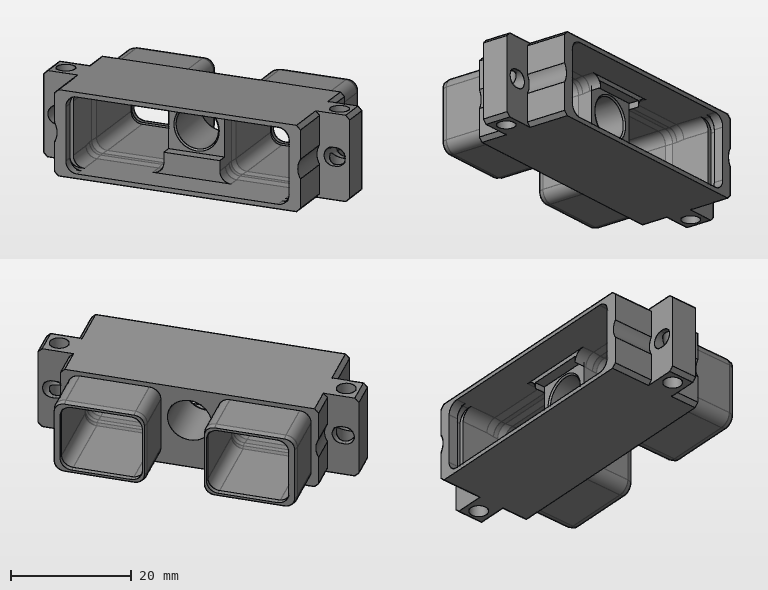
import cadquery as cq

total_length = 55.4
total_depth = 26.7
height = 15.2
edge_chamfer = 0.7
corner_radius = 2.0

body_length = 44.55
body_depth = 17.9
ear_front = 7.8
ear_depth = 5.0
mount_x = 25.0
pin_hole_x = 24.75
mount_hole_diameter = 3.25
mount_slot_length = 3.8
screw_relief_radius = 3.2

sleeve_x = 12.95
sleeve_width = 16.0
sleeve_height = 13.5
sleeve_root_depth = 2.0
sleeve_tip_length = 0.9
sleeve_tip_inset = 0.2

cavity_length = 40.4
cavity_height = sleeve_height
cavity_depth = 5.9
groove_front = 1.8
groove_width = 1.3
groove_depth = 0.8

socket_x = 12.65
socket_width = cavity_length - 2 * socket_x
ramp_front = 8.2
ramp_length = 1.45
ramp_rise = 0.15
taper_front = 10.5
taper_length = 1.2
throat_inset = 0.35
throat_width = socket_width - 2 * throat_inset
throat_height = cavity_height - 2 * throat_inset
lip_depth = 0.9
window_width = 14.2
window_height = 12.2
lip_notch_inner = 2.75
lip_notch_outer = 5.25

web_width = 2 * socket_x - socket_width
recess_bottom = -2.95
recess_top = 5.95
recess_depth = 1.95
center_hole_z = 1.5
center_hole_radius = 3.8
center_hole_chamfer = 0.3


def block(width, depth, tall, x=0, y=0, z=0):
    """Box centred at x and z that starts at y and runs toward +Y."""
    return cq.Workplane("XY").box(width, depth, tall, centered=(True, False, True)).translate((x, y, z))


def rounded_block(width, depth, tall, x=0, y=0):
    """Block with rounded edges along Y."""
    return block(width, depth, tall, x, y).edges("|Y").fillet(corner_radius)


def chamfered_block(width, depth, y=0):
    """Full-height block with chamfered edges along Y."""
    return block(width, depth, height, y=y).edges("|Y").chamfer(edge_chamfer)


def y_plane(y):
    """Sketch plane facing -Y, so a negative extrusion runs toward +Y."""
    return cq.Workplane("XZ", origin=(0, y, 0))


def outer_shell():
    """Body with screw reliefs in its ends, joined by the two ears."""
    body = chamfered_block(body_length, body_depth)
    reliefs = (
        y_plane(0).pushPoints([(-mount_x, 0), (mount_x, 0)]).circle(screw_relief_radius).extrude(-body_depth)
    )
    return body.cut(reliefs).union(chamfered_block(total_length, ear_depth, ear_front))


def sleeve(x):
    """Rear sleeve, rooted in the body, with a slightly narrowed tip."""
    root = body_depth - sleeve_root_depth
    straight = rounded_block(sleeve_width, total_depth - root, sleeve_height, x, root)
    return straight.faces(">Y").chamfer(sleeve_tip_inset, sleeve_tip_length)


def mount_holes():
    """Vertical holes and front-to-back slots in the ears."""
    slots = (
        y_plane(ear_front)
        .pushPoints([(-mount_x, 0), (mount_x, 0)])
        .slot2D(mount_slot_length, mount_hole_diameter)
        .extrude(-ear_depth)
    )
    vertical = (
        cq.Workplane("XY", origin=(0, ear_front + ear_depth / 2, -height / 2))
        .pushPoints([(-pin_hole_x, 0), (pin_hole_x, 0)])
        .circle(mount_hole_diameter / 2)
        .extrude(height)
    )
    return slots.union(vertical)


def front_cavity():
    """Shared opening, widened by a snap groove in its end walls."""
    opening = rounded_block(cavity_length, cavity_depth, cavity_height)
    groove = rounded_block(cavity_length + 2 * groove_depth, groove_width, cavity_height, y=groove_front)
    return opening.union(groove)


def rounded_outline(width, tall):
    """Rectangle with rounded corners."""
    return cq.Sketch().rect(width, tall).vertices().fillet(corner_radius)


def funnel(y, length, front_size, back_size):
    """Passage that changes from one rounded outline to another over its length."""
    back = rounded_outline(*back_size).moved(cq.Location(cq.Vector(0, 0, -length)))
    return y_plane(y).placeSketch(rounded_outline(*front_size), back).loft()


def lip_notches():
    """Two shallow notches in the front of the lip, along its upper side."""
    notch_width = lip_notch_outer - lip_notch_inner
    notch_x = (lip_notch_outer + lip_notch_inner) / 2
    notch_height = (throat_height - window_height) / 2
    notch_z = (throat_height + window_height) / 4
    right = block(notch_width, lip_depth / 2, notch_height, notch_x, total_depth - lip_depth, notch_z)
    return right.union(right.mirror("YZ"))


def socket(x):
    """Stepped passage from the front through one sleeve."""
    ramp_end = ramp_front + ramp_length
    taper_end = taper_front + taper_length
    padded_height = cavity_height - 2 * ramp_rise
    entry_size = (socket_width, cavity_height)
    padded_size = (socket_width, padded_height)
    throat_size = (throat_width, throat_height)

    entry = rounded_block(socket_width, ramp_front, cavity_height)
    ramp = funnel(ramp_front, ramp_length, entry_size, padded_size)
    padded = rounded_block(socket_width, taper_front - ramp_end, padded_height, y=ramp_end)
    taper = funnel(taper_front, taper_length, padded_size, throat_size)
    throat = rounded_block(throat_width, total_depth - lip_depth - taper_end, throat_height, y=taper_end)
    window = rounded_block(window_width, total_depth - taper_end, window_height, y=taper_end)

    passage = entry.union(ramp).union(padded).union(taper).union(throat).union(window).union(lip_notches())
    return passage.translate((x, 0, 0))


def center_recess():
    """Recess in the front of the web, with a chamfered hole through the body."""
    recess_height = recess_top - recess_bottom
    recess_end = cavity_depth + recess_depth
    recess = block(web_width, recess_depth, recess_height, y=cavity_depth, z=(recess_top + recess_bottom) / 2)
    hole = y_plane(recess_end).center(0, center_hole_z).circle(center_hole_radius).extrude(recess_end - body_depth)
    mouth = (
        y_plane(recess_end)
        .center(0, center_hole_z)
        .circle(center_hole_radius + center_hole_chamfer)
        .workplane(offset=-center_hole_chamfer)
        .circle(center_hole_radius)
        .loft()
    )
    return recess.union(hole).union(mouth)


result = outer_shell()
for side in (-1, 1):
    result = result.union(sleeve(side * sleeve_x))
result = result.cut(mount_holes()).cut(front_cavity()).cut(center_recess())
for side in (-1, 1):
    result = result.cut(socket(side * socket_x))